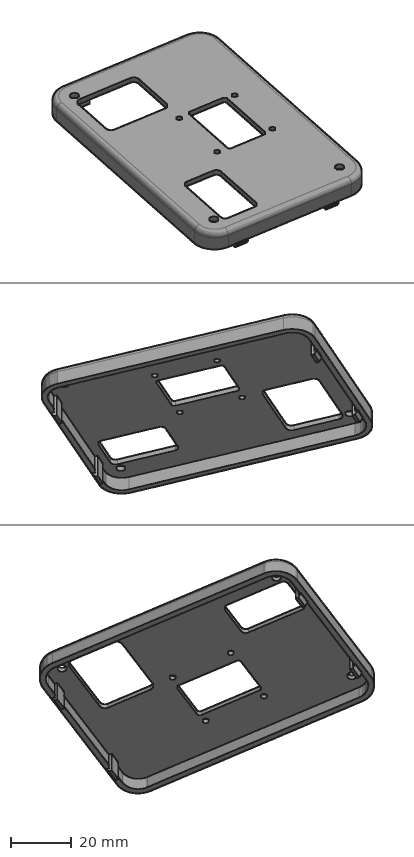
import cadquery as cq

length = 96.0
width = 65.0
height = 7.0
corner_radius = 8.0
edge_radius = 2.0
wall = 2.0

clip_thickness = 1.0
clip_width = 4.5
clip_drop = 3.2
clip_offset_y = 18.0
hook_reach = 1.0
hook_top_drop = 1.5
hook_lip = 0.2

screw_diameter = 3.0
screw_x = 40.5
screw_y = 25.0
screw_points = [(-screw_x, -screw_y), (screw_x, -screw_y), (screw_x, screw_y)]

mount_diameter = 2.0
mount_pitch = 22.0
mount_center_y = 7.5

center_window = (24.0, 15.0, (0.0, 8.0), 1.0)
left_window = (20.0, 24.0, (-28.0, -14.5), 2.0)
right_window = (23.8, 14.0, (30.6, -15.5), 1.75)


def rounded_block(size_x, size_y, size_z, radius):
    """Block standing on Z = 0 with rounded vertical corners."""
    block = cq.Workplane("XY").box(size_x, size_y, size_z, centered=(True, True, False))
    return block.edges("|Z").fillet(radius)


def make_shell():
    """Hollow lid, open at the bottom, with a rounded top edge."""
    outer = rounded_block(length, width, height, corner_radius).faces(">Z").edges().fillet(edge_radius)
    cavity = rounded_block(length - 2 * wall, width - 2 * wall, height - wall, corner_radius - wall)
    return outer.cut(cavity)


def make_clip(center_y):
    """Clip on the -X wall: a flat tongue with an outward hook at its lower end."""
    outer_x = -length / 2 + wall
    inner_x = outer_x + clip_thickness
    hook_x = outer_x - hook_reach
    profile = [
        (inner_x, height - wall),
        (outer_x, height - wall),
        (outer_x, -hook_top_drop),
        (hook_x, -hook_top_drop),
        (hook_x, -hook_top_drop - hook_lip),
        (outer_x, -clip_drop),
        (inner_x, -clip_drop),
    ]
    clip = cq.Workplane("XZ").polyline(profile).close().extrude(clip_width / 2, both=True)
    return clip.translate((0, center_y, 0))


def window_cutter(size_x, size_y, center, radius):
    """Rounded rectangular prism that passes through the top plate."""
    return rounded_block(size_x, size_y, height, radius).translate((*center, 0))


def hole_cutter(points, diameter):
    """Round holes through the top plate."""
    return cq.Workplane("XY").pushPoints(points).circle(diameter / 2).extrude(height)


result = make_shell()

for clip_y in (-clip_offset_y, clip_offset_y):
    left_clip = make_clip(clip_y)
    result = result.union(left_clip).union(left_clip.mirror("YZ"))

for window in (center_window, left_window, right_window):
    result = result.cut(window_cutter(*window))

mount_points = [
    (side_x * mount_pitch / 2, mount_center_y + side_y * mount_pitch / 2)
    for side_x in (-1, 1)
    for side_y in (-1, 1)
]
result = result.cut(hole_cutter(screw_points, screw_diameter))
result = result.cut(hole_cutter(mount_points, mount_diameter))